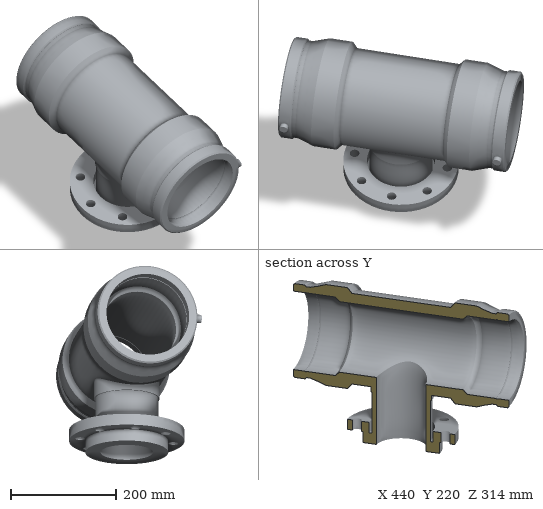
import cadquery as cq

LENGTH = 440.0
HALF = LENGTH / 2
RUN_DIA = 187.0
BORE_DIA = 144.0

LIP_DIA = 193.5
LIP_CHAMFER = 2.5
LIP_WIDTH = 26.0
NECK_DIA = 187.5
NECK_END = 34.5
BULGE_DIA = 208.0
BULGE_START = 66.5
BULGE_END = 110.0
SHOULDER_END = 119.5
SOCKET_DIA = 160.0
SOCKET_DEPTH = 85.5
SOCKET_TAPER = (SOCKET_DIA - BORE_DIA) / 2
SEAL_GROOVE_START = 23.5
SEAL_GROOVE_END = 26.5
SEAL_GROOVE_DIA = 162.0

PIN_DIA = 16.0
PIN_DEPTH = 12.8
PIN_TIP = 105.5
PIN_ROOT = 88.0

HEIGHT = 314.0
BOTTOM_Z = BULGE_DIA / 2 - HEIGHT
COLLAR_DIA = 125.0
COLLAR_BOTTOM_Z = -BULGE_DIA / 2
BRANCH_DIA = 120.0
BRANCH_BORE_DIA = 100.0
STUB_DIA = 158.0
STUB_HEIGHT = 22.5

FLANGE_DIA = 220.0
FLANGE_THICKNESS = 21.5
FLANGE_BORE_DIA = 130.0
BOLT_CIRCLE_DIA = 180.5
BOLT_HOLE_DIA = 18.0
BOLT_COUNT = 8


def vertical_cylinder(diameter, bottom, top):
    return cq.Workplane("XY").workplane(offset=bottom).circle(diameter / 2).extrude(top - bottom)


def revolve_run(half_outline):
    """Revolve (depth from end, radius) points, mirrored to both ends, about X."""
    left = [(depth - HALF, radius) for depth, radius in half_outline]
    right = [(-x, radius) for x, radius in reversed(left)]
    outline = [(-HALF, 0)] + left + right + [(HALF, 0)]
    return cq.Workplane("XY").polyline(outline).close().revolve(360, (0, 0, 0), (1, 0, 0))


def make_run_body():
    lip_edge = LIP_DIA / 2 - LIP_CHAMFER
    return revolve_run([
        (0, lip_edge),
        (LIP_CHAMFER, LIP_DIA / 2),
        (LIP_WIDTH - LIP_CHAMFER, LIP_DIA / 2),
        (LIP_WIDTH, lip_edge),
        (LIP_WIDTH, NECK_DIA / 2),
        (NECK_END, NECK_DIA / 2),
        (BULGE_START, BULGE_DIA / 2),
        (BULGE_END, BULGE_DIA / 2),
        (SHOULDER_END, RUN_DIA / 2),
    ])


def make_run_bore():
    return revolve_run([
        (0, SOCKET_DIA / 2),
        (SEAL_GROOVE_START, SOCKET_DIA / 2),
        (SEAL_GROOVE_START, SEAL_GROOVE_DIA / 2),
        (SEAL_GROOVE_END, SEAL_GROOVE_DIA / 2),
        (SEAL_GROOVE_END, SOCKET_DIA / 2),
        (SOCKET_DEPTH, SOCKET_DIA / 2),
        (SOCKET_DEPTH + SOCKET_TAPER, BORE_DIA / 2),
    ])


def make_pin(x):
    pin = cq.Workplane("XZ", origin=(x, PIN_ROOT, 0)).circle(PIN_DIA / 2)
    return pin.extrude(PIN_ROOT - PIN_TIP)


def make_branch():
    collar = vertical_cylinder(COLLAR_DIA, COLLAR_BOTTOM_Z, 0)
    pipe = vertical_cylinder(BRANCH_DIA, BOTTOM_Z, 0)
    stub = vertical_cylinder(STUB_DIA, BOTTOM_Z, BOTTOM_Z + STUB_HEIGHT)
    return collar.union(pipe).union(stub)


def make_flange():
    bottom = BOTTOM_Z + STUB_HEIGHT
    top = bottom + FLANGE_THICKNESS
    disc = vertical_cylinder(FLANGE_DIA, bottom, top)
    disc = disc.cut(vertical_cylinder(FLANGE_BORE_DIA, bottom, top))
    holes = (
        cq.Workplane("XY")
        .workplane(offset=bottom)
        .polarArray(BOLT_CIRCLE_DIA / 2, 0, 360, BOLT_COUNT)
        .circle(BOLT_HOLE_DIA / 2)
        .extrude(FLANGE_THICKNESS)
    )
    return disc.cut(holes)


body = make_run_body().union(make_branch()).union(make_flange())
for side in (-1, 1):
    body = body.union(make_pin(side * (HALF - PIN_DEPTH)))

branch_bore = vertical_cylinder(BRANCH_BORE_DIA, BOTTOM_Z, 0)
result = body.cut(make_run_bore()).cut(branch_bore)